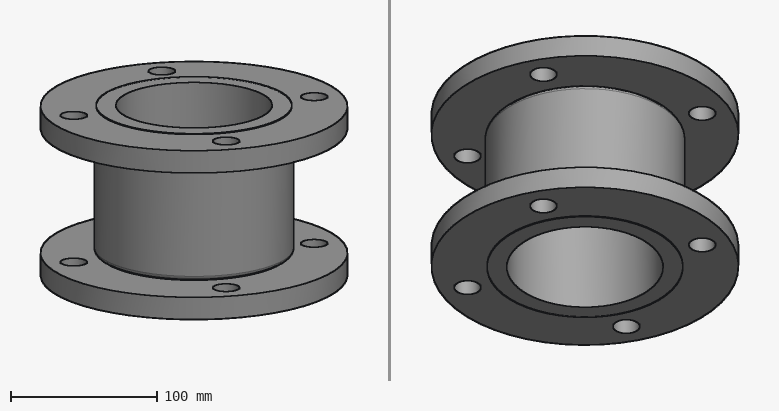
import cadquery as cq

total_height = 122.0
flange_diameter = 210.0
flange_thickness = 16.0
bore_diameter = 106.9

face_diameter = 134.0
face_step = 0.6

sleeve_diameter = 136.5
sleeve_edge_radius = 3.4
neck_height = 0.6
neck_diameter = sleeve_diameter - 2 * sleeve_edge_radius

bolt_count = 4
bolt_hole_diameter = 18.3
bolt_circle_diameter = 170.0
first_bolt_angle = 45.0

top_z = total_height / 2
flange_outer_z = top_z - face_step
flange_inner_z = flange_outer_z - flange_thickness
sleeve_end_z = flange_inner_z - neck_height


def disc(diameter, lower_z, upper_z):
    """Solid cylinder on the Z axis between two levels."""
    base = cq.Workplane("XY").workplane(offset=lower_z)
    return base.circle(diameter / 2).extrude(upper_z - lower_z)


def make_upper_flange():
    """Drilled flange plate with its sealing face above and its neck below."""
    plate = disc(flange_diameter, flange_inner_z, flange_outer_z)
    drilled_plate = (
        plate.faces(">Z")
        .workplane()
        .polarArray(bolt_circle_diameter / 2, first_bolt_angle, 360, bolt_count)
        .hole(bolt_hole_diameter)
    )
    sealing_face = disc(face_diameter, flange_outer_z, top_z)
    neck = disc(neck_diameter, sleeve_end_z, flange_inner_z)
    return drilled_plate.union(sealing_face).union(neck)


def make_sleeve():
    """Cylinder with both end edges rounded."""
    body = disc(sleeve_diameter, -sleeve_end_z, sleeve_end_z)
    return body.faces("<Z or >Z").edges().fillet(sleeve_edge_radius)


upper_flange = make_upper_flange()
lower_flange = upper_flange.mirror("XY")
bore = disc(bore_diameter, -top_z, top_z)

result = make_sleeve().union(upper_flange).union(lower_flange).cut(bore)